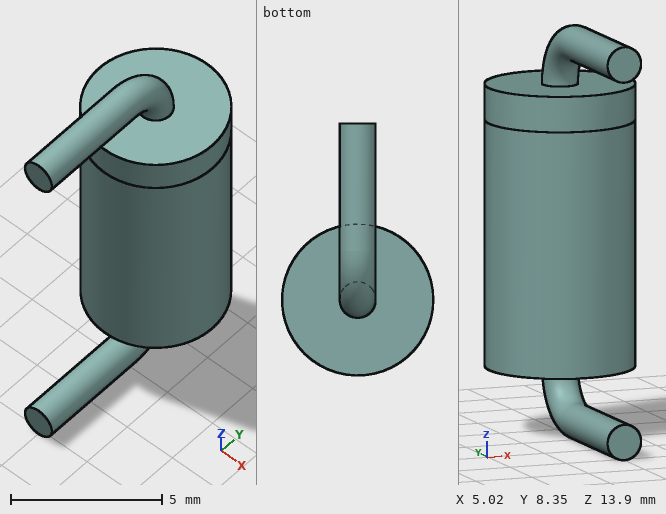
import cadquery as cq

overall_height = 13.9
overall_depth = 8.35
body_diameter = 5.0
body_height = 9.5
band_diameter = 5.02
band_height = 1.2
lead_diameter = 1.2

body_radius = body_diameter / 2
body_top = body_height / 2
band_radius = band_diameter / 2
lead_radius = lead_diameter / 2
leg_height = overall_height / 2 - lead_radius
bend_radius = leg_height - body_top
leg_length = overall_depth - band_radius - bend_radius


def make_upper_lead():
    """Round lead that rises from the body top, bends through 90 degrees and runs toward -Y."""
    bend = (
        cq.Workplane("XY", origin=(0, 0, body_top))
        .circle(lead_radius)
        .revolve(90, (-0.14, -bend_radius, 0), (0.14, -bend_radius, 0))
    )
    leg = (
        cq.Workplane("XZ", origin=(0, -bend_radius, leg_height))
        .circle(lead_radius)
        .extrude(leg_length)
    )
    return bend.union(leg)


def make_diode_body():
    """Cylindrical body, centred on the origin, with a bent lead on each end face."""
    cylinder = cq.Workplane("XY", origin=(0, 0, -body_top)).circle(body_radius).extrude(body_height)
    upper_lead = make_upper_lead()
    lower_lead = upper_lead.mirror("XY")
    return cylinder.union(upper_lead).union(lower_lead)


def make_polarity_band():
    """Very thin ring wrapped around the top end of the body, flush with its top face."""
    return (
        cq.Workplane("XY", origin=(0, 0, body_top - band_height))
        .circle(band_radius)
        .circle(body_radius)
        .extrude(band_height)
    )


diode_body = make_diode_body()
polarity_band = make_polarity_band()

result = cq.Compound.makeCompound([diode_body.val(), polarity_band.val()])